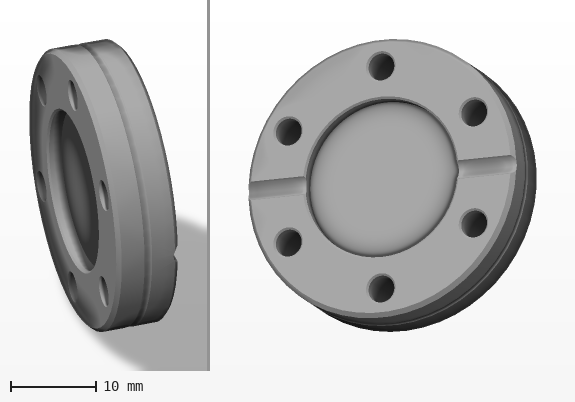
import cadquery as cq
import math

flange_diameter = 33.8
flange_radius = flange_diameter / 2
flange_thickness = 7.6
half_thickness = flange_thickness / 2
rim_chamfer = 0.5

rim_groove_width = 0.9
rim_groove_depth = 0.2

bore_diameter = 19.2
window_recess_depth = 1.75
window_thickness = flange_thickness - 2 * window_recess_depth

bolt_count = 6
bolt_hole_diameter = 3.25
bolt_circle_diameter = 27.0

mouth_chamfer = 0.25

channel_width = 2.25
channel_depth = 0.68
channel_radius = ((channel_width / 2) ** 2 + channel_depth ** 2) / (2 * channel_depth)
channel_axis_y = half_thickness - channel_depth + channel_radius


def rim_body():
    """Solid disc turned about Y, with chamfered edges and the rim groove."""
    face_radius = flange_radius - rim_chamfer
    rim_edge_y = half_thickness - rim_chamfer
    groove_edge_y = rim_groove_width / 2
    return (
        cq.Workplane("XY")
        .moveTo(0, -half_thickness)
        .lineTo(face_radius, -half_thickness)
        .lineTo(flange_radius, -rim_edge_y)
        .lineTo(flange_radius, -groove_edge_y)
        .threePointArc((flange_radius - rim_groove_depth, 0), (flange_radius, groove_edge_y))
        .lineTo(flange_radius, rim_edge_y)
        .lineTo(face_radius, half_thickness)
        .lineTo(0, half_thickness)
        .close()
        .revolve(360, (0, 0), (0, 1))
    )


def bevelled_hole(diameter, x=0.0, z=0.0):
    """Cutter for a through hole that widens in a bevel at both faces."""
    hole_radius = diameter / 2
    mouth_radius = hole_radius + mouth_chamfer
    bevel_start_y = half_thickness - mouth_chamfer
    return (
        cq.Workplane("XY")
        .moveTo(0, -half_thickness)
        .lineTo(mouth_radius, -half_thickness)
        .lineTo(hole_radius, -bevel_start_y)
        .lineTo(hole_radius, bevel_start_y)
        .lineTo(mouth_radius, half_thickness)
        .lineTo(0, half_thickness)
        .close()
        .revolve(360, (0, 0), (0, 1))
        .translate((x, 0, z))
    )


def leak_channel():
    """Cutter for the channel that runs along X across the rear face."""
    return (
        cq.Workplane("YZ")
        .center(channel_axis_y, 0)
        .circle(channel_radius)
        .extrude(flange_radius, both=True)
    )


def make_flange():
    body = rim_body().cut(bevelled_hole(bore_diameter))
    for index in range(bolt_count):
        angle = math.pi / 2 + 2 * math.pi * index / bolt_count
        x = bolt_circle_diameter / 2 * math.cos(angle)
        z = bolt_circle_diameter / 2 * math.sin(angle)
        body = body.cut(bevelled_hole(bolt_hole_diameter, x, z))
    return body.cut(leak_channel())


def make_window():
    """Plain disc that fills the middle of the bore."""
    return cq.Workplane("XZ").circle(bore_diameter / 2).extrude(window_thickness / 2, both=True)


flange = make_flange()
window = make_window()

result = cq.Compound.makeCompound([flange.val(), window.val()])